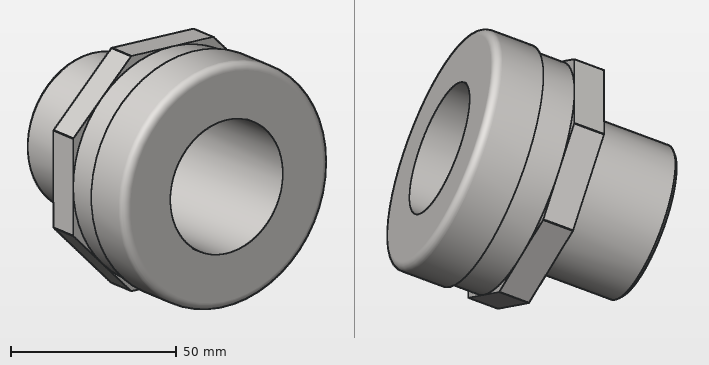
import cadquery as cq
import math

total_length = 68.2
spigot_length = 30.8
octagon_thickness = 10.0
collar_length = 16.3
collar_start = total_length - collar_length

spigot_diameter = 50.0
bore_diameter = 42.6
body_diameter = 75.0
collar_diameter = 78.0

octagon_sides = 8
octagon_across_flats = body_diameter
octagon_across_corners = octagon_across_flats / math.cos(math.pi / octagon_sides)

octagon_corner_diameter = 81.1

spigot_chamfer = 1.0
collar_fillet = 2.5


def cylinder(start, end, diameter):
    """Solid cylinder along X between two positions."""
    return cq.Workplane("YZ", origin=(start, 0, 0)).circle(diameter / 2).extrude(end - start)


spigot = cylinder(0, spigot_length, spigot_diameter).faces("<X").edges().chamfer(spigot_chamfer)

octagon = (
    cq.Workplane("YZ", origin=(spigot_length, 0, 0))
    .polygon(octagon_sides, octagon_across_corners)
    .extrude(octagon_thickness)
    .rotate((0, 0, 0), (1, 0, 0), 180 / octagon_sides)
)
corner_trim = cylinder(spigot_length, spigot_length + octagon_thickness, octagon_corner_diameter)
octagon = octagon.intersect(corner_trim)

body = cylinder(spigot_length + octagon_thickness, collar_start, body_diameter)
collar = cylinder(collar_start, total_length, collar_diameter).faces(">X").edges().fillet(collar_fillet)

bore = cylinder(0, total_length, bore_diameter)

result = spigot.union(octagon).union(body).union(collar).cut(bore)